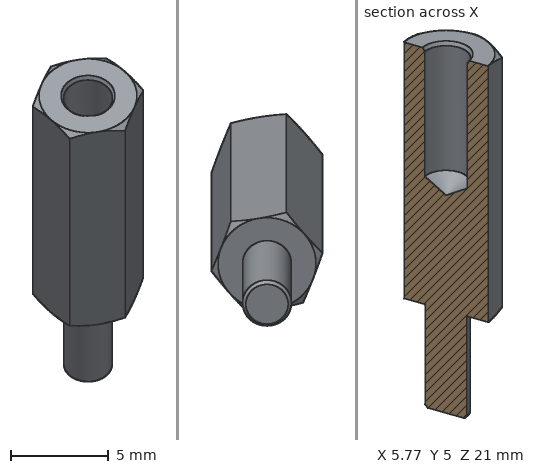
import cadquery as cq
import math

total_length = 21.0
hex_length = 15.0
across_flats = 5.0
thread_diameter = 2.5
stud_chamfer = 0.17
hole_depth = 7.5
mouth_diameter = 2.75
mouth_chamfer_depth = 0.2
drill_tip_angle = 118.0
corner_chamfer_angle = 30.0

stud_length = total_length - hex_length
across_corners = across_flats / math.cos(math.radians(30))
corner_drop = (across_corners - across_flats) / 2 * math.tan(math.radians(corner_chamfer_angle))
thread_radius = thread_diameter / 2
mouth_radius = mouth_diameter / 2
tip_depth = thread_radius / math.tan(math.radians(drill_tip_angle / 2))


def make_hex_body():
    """Hexagonal bar with its corners turned down to a circle at both ends."""
    flat_radius = across_flats / 2
    corner_radius = across_corners / 2
    bar = cq.Workplane("XY").polygon(6, across_corners).extrude(hex_length)
    turned_envelope = (
        cq.Workplane("XZ")
        .moveTo(0, 0)
        .lineTo(flat_radius, 0)
        .lineTo(corner_radius, corner_drop)
        .lineTo(corner_radius, hex_length - corner_drop)
        .lineTo(flat_radius, hex_length)
        .lineTo(0, hex_length)
        .close()
        .revolve(360, (0, 0, 0), (0, 1, 0))
    )
    return bar.intersect(turned_envelope)


def make_stud():
    """Round stud below the hexagon, chamfered at its free end."""
    stud = cq.Workplane("XY").circle(thread_radius).extrude(-stud_length)
    return stud.faces("<Z").chamfer(stud_chamfer)


def make_hole():
    """Blind hole from the top face, with a chamfered mouth and a drill-point bottom."""
    hole_bottom = hex_length - hole_depth
    return (
        cq.Workplane("XZ")
        .moveTo(0, hex_length)
        .lineTo(mouth_radius, hex_length)
        .lineTo(thread_radius, hex_length - mouth_chamfer_depth)
        .lineTo(thread_radius, hole_bottom)
        .lineTo(0, hole_bottom - tip_depth)
        .close()
        .revolve(360, (0, 0, 0), (0, 1, 0))
    )


result = make_hex_body().union(make_stud()).cut(make_hole())